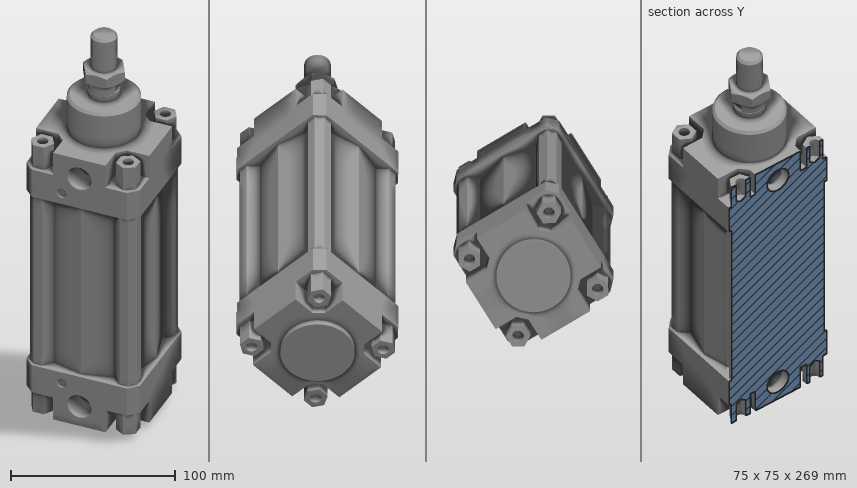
import cadquery as cq
import math

TOTAL_HEIGHT = 269.0
HEAD_HEIGHT = 36.0
REAR_HEAD_BOTTOM = 4.0
REAR_HEAD_TOP = REAR_HEAD_BOTTOM + HEAD_HEIGHT
FRONT_HEAD_TOP = 200.0
FRONT_HEAD_BOTTOM = FRONT_HEAD_TOP - HEAD_HEIGHT
BOSS_TOP = 225.0
NUT_BOTTOM = 237.0

HEAD_WIDTH = 75.0
HEAD_CORNER_CHAMFER = 6.0
BOSS_RADIUS = 22.5
BOSS_CHAMFER = 1.5

POCKET_WIDTH = 20.2
POCKET_CHAMFER = 5.5
POCKET_DEPTH = 16.1
BOLT_OFFSET = 28.2
BOLT_ACROSS_FLATS = 13.0
BOLT_HOLE_RADIUS = 3.5
BOLT_HOLE_DEPTH = 13.5
DRILL_POINT_ANGLE = 118.0

PORT_RADIUS = 8.0
PORT_DEPTH = 16.1
PORT_FROM_END = 14.3
SCREW_RADIUS = 3.2
SCREW_RECESS_DEPTH = 1.3
SCREW_X = -11.5
SCREW_FROM_END = 28.2

POST_HALF_WIDTH = 35.5
POST_CHAMFER = 4.3
POST_INNER_EDGE = 25.5
POST_STEP = 5.6
CROWN_HALF_WIDTH = 34.7

ROD_RADIUS = 10.0
NECK_BOTTOM = 229.2
NECK_RADIUS = 9.7
THREAD_RADIUS = 8.0
THREAD_CHAMFER = 1.5
FLAT_HALF_WIDTH = 8.5

NUT_ACROSS_FLATS = 24.0
NUT_HEIGHT = 8.0
NUT_CHAMFER_ANGLE = 30.0


def corner_distance(across_flats):
    """Distance from the centre of a hexagon to its corners."""
    return across_flats / math.sqrt(3)


def hexagon_prism(across_flats, height):
    """Hexagonal prism standing on the XY plane, with two corners on the X axis."""
    return cq.Workplane("XY").polygon(6, 2 * corner_distance(across_flats)).extrude(height)


def corner_pocket():
    """Cutter for the pocket at the +X +Y corner, below a head's end face at Z = HEAD_HEIGHT."""
    outer = HEAD_WIDTH / 2
    inner = outer - POCKET_WIDTH
    return (
        cq.Workplane("XY")
        .workplane(offset=HEAD_HEIGHT - POCKET_DEPTH)
        .moveTo(outer, outer)
        .lineTo(inner, outer)
        .lineTo(inner, inner + POCKET_CHAMFER)
        .lineTo(inner + POCKET_CHAMFER, inner)
        .lineTo(outer, inner)
        .close()
        .extrude(POCKET_DEPTH)
    )


def drilled_hole():
    """Cutter for a blind hole with a conical bottom, opening at Z = HEAD_HEIGHT."""
    point_height = BOLT_HOLE_RADIUS / math.tan(math.radians(DRILL_POINT_ANGLE / 2))
    wall_bottom = HEAD_HEIGHT - BOLT_HOLE_DEPTH
    return (
        cq.Workplane("XZ")
        .moveTo(0, HEAD_HEIGHT)
        .lineTo(BOLT_HOLE_RADIUS, HEAD_HEIGHT)
        .lineTo(BOLT_HOLE_RADIUS, wall_bottom)
        .lineTo(0, wall_bottom - point_height)
        .close()
        .revolve(360, (0, 0, 0), (0, 1, 0))
    )


def bolt_head():
    """Drilled hexagonal bolt head at the +X +Y corner, rising from the pocket floor."""
    hexagon = hexagon_prism(BOLT_ACROSS_FLATS, POCKET_DEPTH)
    return (
        hexagon.translate((0, 0, HEAD_HEIGHT - POCKET_DEPTH))
        .cut(drilled_hole())
        .translate((BOLT_OFFSET, BOLT_OFFSET, 0))
    )


def face_hole(x, z, radius, depth):
    """Cutter for a flat-bottomed round hole going into the -Y face of a head."""
    return (
        cq.Workplane("XZ", origin=(x, -HEAD_WIDTH / 2, z))
        .circle(radius)
        .extrude(-depth)
    )


def head():
    """Head standing on Z = 0 against the barrel, with its outer end face at Z = HEAD_HEIGHT."""
    body = (
        cq.Workplane("XY")
        .rect(HEAD_WIDTH, HEAD_WIDTH)
        .extrude(HEAD_HEIGHT)
        .edges("|Z")
        .chamfer(HEAD_CORNER_CHAMFER)
    )
    for quarter in range(4):
        angle = 90 * quarter
        body = body.cut(corner_pocket().rotate((0, 0, 0), (0, 0, 1), angle))
        body = body.union(bolt_head().rotate((0, 0, 0), (0, 0, 1), angle))
    port = face_hole(0, HEAD_HEIGHT - PORT_FROM_END, PORT_RADIUS, PORT_DEPTH)
    screw_recess = face_hole(SCREW_X, HEAD_HEIGHT - SCREW_FROM_END, SCREW_RADIUS, SCREW_RECESS_DEPTH)
    return body.cut(port).cut(screw_recess)


def barrel():
    """Extruded barrel between the heads; one side's profile repeats at every quarter turn."""
    side = [
        (-POST_HALF_WIDTH + POST_CHAMFER, -POST_HALF_WIDTH),
        (-POST_INNER_EDGE, -POST_HALF_WIDTH),
        (-POST_INNER_EDGE + POST_STEP, -POST_HALF_WIDTH + POST_STEP),
        (0, -CROWN_HALF_WIDTH),
        (POST_INNER_EDGE - POST_STEP, -POST_HALF_WIDTH + POST_STEP),
        (POST_INNER_EDGE, -POST_HALF_WIDTH),
        (POST_HALF_WIDTH - POST_CHAMFER, -POST_HALF_WIDTH),
    ]
    outline = []
    for _ in range(4):
        outline += side
        side = [(-y, x) for x, y in side]
    return (
        cq.Workplane("XY")
        .workplane(offset=REAR_HEAD_TOP)
        .polyline(outline)
        .close()
        .extrude(FRONT_HEAD_BOTTOM - REAR_HEAD_TOP)
    )


def make_housing():
    """Barrel, both heads, the front boss and the rear spigot as one solid."""
    front_head = head().translate((0, 0, FRONT_HEAD_BOTTOM))
    rear_head = head().mirror("XY").translate((0, 0, REAR_HEAD_TOP))
    front_boss = (
        cq.Workplane("XY")
        .workplane(offset=FRONT_HEAD_TOP)
        .circle(BOSS_RADIUS)
        .extrude(BOSS_TOP - FRONT_HEAD_TOP)
        .faces(">Z")
        .chamfer(BOSS_CHAMFER)
    )
    rear_spigot = cq.Workplane("XY").circle(BOSS_RADIUS).extrude(REAR_HEAD_BOTTOM)
    return barrel().union(front_head).union(rear_head).union(front_boss).union(rear_spigot)


def make_rod():
    """Rod standing on the front boss, stepping down to a neck with wrench flats and a threaded end."""
    rod = (
        cq.Workplane("XY")
        .workplane(offset=BOSS_TOP)
        .circle(ROD_RADIUS)
        .extrude(NECK_BOTTOM - BOSS_TOP)
    )
    neck = (
        cq.Workplane("XY")
        .workplane(offset=NECK_BOTTOM)
        .circle(NECK_RADIUS)
        .extrude(NUT_BOTTOM - NECK_BOTTOM)
    )
    thread = (
        cq.Workplane("XY")
        .workplane(offset=NUT_BOTTOM)
        .circle(THREAD_RADIUS)
        .extrude(TOTAL_HEIGHT - NUT_BOTTOM)
        .faces(">Z")
        .chamfer(THREAD_CHAMFER)
    )
    runout = NECK_RADIUS - FLAT_HALF_WIDTH
    flat_cutter = (
        cq.Workplane("XZ")
        .moveTo(NECK_RADIUS, NECK_BOTTOM)
        .lineTo(FLAT_HALF_WIDTH, NECK_BOTTOM + runout)
        .lineTo(FLAT_HALF_WIDTH, NUT_BOTTOM)
        .lineTo(NECK_RADIUS, NUT_BOTTOM)
        .close()
        .extrude(NECK_RADIUS, both=True)
    )
    neck = neck.cut(flat_cutter).cut(flat_cutter.mirror("YZ"))
    return rod.union(neck).union(thread)


def make_nut():
    """Hexagonal lock nut on the thread, with its corners turned off conically at both ends."""
    flat_radius = NUT_ACROSS_FLATS / 2
    corner_radius = corner_distance(NUT_ACROSS_FLATS)
    chamfer_height = (corner_radius - flat_radius) * math.tan(math.radians(NUT_CHAMFER_ANGLE))
    turned_envelope = (
        cq.Workplane("XZ")
        .moveTo(0, 0)
        .lineTo(flat_radius, 0)
        .lineTo(corner_radius, chamfer_height)
        .lineTo(corner_radius, NUT_HEIGHT - chamfer_height)
        .lineTo(flat_radius, NUT_HEIGHT)
        .lineTo(0, NUT_HEIGHT)
        .close()
        .revolve(360, (0, 0, 0), (0, 1, 0))
    )
    bore = cq.Workplane("XY").circle(THREAD_RADIUS).extrude(NUT_HEIGHT)
    nut = hexagon_prism(NUT_ACROSS_FLATS, NUT_HEIGHT).intersect(turned_envelope).cut(bore)
    return nut.translate((0, 0, NUT_BOTTOM))


housing = make_housing()
rod = make_rod()
nut = make_nut()

result = cq.Compound.makeCompound([housing.val(), rod.val(), nut.val()])